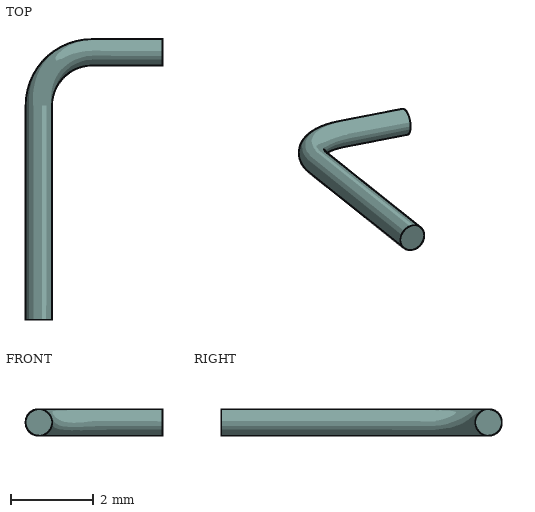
import cadquery as cq

length_y = 6.83
length_x = 3.33
wire_diameter = 0.65
bend_radius = 1.3

wire_radius = wire_diameter / 2
outer_bend_radius = bend_radius + wire_radius
long_leg = length_y - outer_bend_radius
short_leg = length_x - outer_bend_radius

centreline = (
    cq.Workplane("XY")
    .lineTo(0, long_leg)
    .radiusArc((bend_radius, long_leg + bend_radius), bend_radius)
    .line(short_leg, 0)
)

result = cq.Workplane("XZ").circle(wire_radius).sweep(centreline)